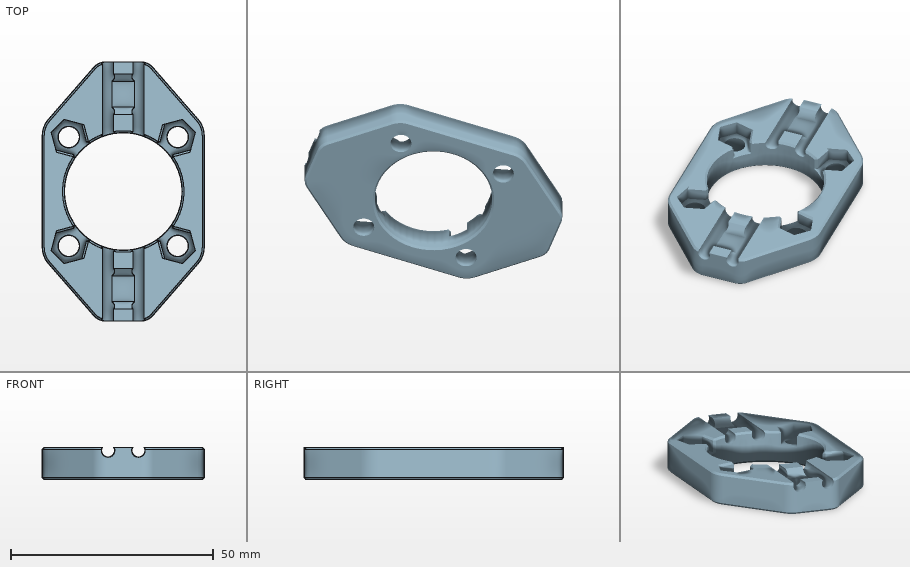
import cadquery as cq
import math

WIDTH = 40.0
LENGTH = 64.0
THICKNESS = 8.0
END_FLAT = 12.2
SIDE_FLAT = 32.1
END_RADIUS = 4.0
SIDE_RADIUS = 6.0
EDGE_CHAMFER = 0.5

BORE_DIAMETER = 29.0

BOLT_CIRCLE_RADIUS = 19.0
BOLT_DIAMETER = 5.2
NUT_ACROSS_FLATS = 7.8
NUT_DEPTH = 3.5
MOUTH_FLARE = 0.4
MOUTH_LENGTH = 0.8

GROOVE_RADIUS = 1.6
GROOVE_SPACING = 7.5
GROOVE_AXIS_DEPTH = 0.8

NOTCH_CENTER = 24.0
NOTCH_TOP_LENGTH = 10.0
NOTCH_DEPTH = 2.1
NOTCH_RAMP = 1.8


def make_plate():
    """Octagonal plate with rounded corners and chamfered rims."""
    half_width = WIDTH / 2
    half_length = LENGTH / 2
    half_end = END_FLAT / 2
    half_side = SIDE_FLAT / 2
    corners = [
        (half_width, -half_side),
        (half_width, half_side),
        (half_end, half_length),
        (-half_end, half_length),
        (-half_width, half_side),
        (-half_width, -half_side),
        (-half_end, -half_length),
        (half_end, -half_length),
    ]
    plate = cq.Workplane("XY").polyline(corners).close().extrude(THICKNESS)
    plate = plate.faces("<X or >X").edges("|Z").fillet(SIDE_RADIUS)
    plate = plate.faces("<Y or >Y").edges("|Z").fillet(END_RADIUS)
    return plate.faces("<Z or >Z").edges().chamfer(EDGE_CHAMFER)


def square_tongue_ends(plate):
    """Fill the top rim chamfer at both ends, so that the tongue ends square."""
    filler = (
        cq.Workplane("XY")
        .box(GROOVE_SPACING, LENGTH, EDGE_CHAMFER)
        .translate((0, 0, THICKNESS - EDGE_CHAMFER / 2))
    )
    return plate.union(filler)


def cut_bore(plate):
    """Central through bore with chamfered rims."""
    radius = BORE_DIAMETER / 2
    bore = cq.Workplane("XY").circle(radius).extrude(THICKNESS)
    rim = (
        cq.Workplane("XY", origin=(0, 0, THICKNESS - EDGE_CHAMFER))
        .circle(radius)
        .workplane(offset=EDGE_CHAMFER)
        .circle(radius + EDGE_CHAMFER)
        .loft()
    )
    opposite_rim = rim.mirror("XY", (0, 0, THICKNESS / 2))
    return plate.cut(bore).cut(rim).cut(opposite_rim)


def cut_grooves(plate):
    """Two round-bottomed grooves along the full length."""
    side = GROOVE_SPACING / 2
    grooves = (
        cq.Workplane("XZ", origin=(0, LENGTH / 2, THICKNESS - GROOVE_AXIS_DEPTH))
        .pushPoints([(-side, 0), (side, 0)])
        .circle(GROOVE_RADIUS)
        .extrude(LENGTH)
    )
    return plate.cut(grooves)


def cut_notches(plate):
    """Ramped notch between the groove axes, one at each end of the plate."""
    half_top = NOTCH_TOP_LENGTH / 2
    half_floor = half_top - NOTCH_RAMP
    floor_z = THICKNESS - NOTCH_DEPTH
    for center in (-NOTCH_CENTER, NOTCH_CENTER):
        notch = (
            cq.Workplane("YZ")
            .moveTo(center - half_top, THICKNESS)
            .lineTo(center - half_floor, floor_z)
            .lineTo(center + half_floor, floor_z)
            .lineTo(center + half_top, THICKNESS)
            .close()
            .extrude(GROOVE_SPACING / 2, both=True)
        )
        plate = plate.cut(notch)
    return plate


def nut_pocket_outline(widening):
    """Hexagon with its inner side opened into a flared mouth.

    X points outward along the bolt radius, measured from the bolt axis. The two
    walls beside the mouth and the flares are moved outward by the widening.
    """
    apothem = NUT_ACROSS_FLATS / 2
    side = NUT_ACROSS_FLATS / math.sqrt(3)
    turn = math.radians(60)
    mouth_x = -apothem - widening * math.cos(turn)
    mouth_y = side / 2 + widening * math.sin(turn)
    upper = [
        (apothem, side / 2),
        (-widening, side + widening / math.tan(turn)),
        (mouth_x, mouth_y),
        (mouth_x - MOUTH_LENGTH, mouth_y + MOUTH_FLARE),
    ]
    lower = [(x, -y) for x, y in reversed(upper)]
    return upper + lower


def make_nut_cutter():
    """Bolt hole, nut pocket and its top chamfer, placed on the +X axis."""
    bolt = cq.Workplane("XY").circle(BOLT_DIAMETER / 2).extrude(THICKNESS)
    pocket = (
        cq.Workplane("XY", origin=(0, 0, THICKNESS - NUT_DEPTH))
        .polyline(nut_pocket_outline(0))
        .close()
        .extrude(NUT_DEPTH)
    )
    chamfer = (
        cq.Workplane("XY", origin=(0, 0, THICKNESS - EDGE_CHAMFER))
        .polyline(nut_pocket_outline(0))
        .close()
        .workplane(offset=EDGE_CHAMFER)
        .polyline(nut_pocket_outline(EDGE_CHAMFER))
        .close()
        .loft(ruled=True)
    )
    return bolt.union(pocket).union(chamfer).translate((BOLT_CIRCLE_RADIUS, 0, 0))


def cut_nut_pockets(plate):
    """Four bolt holes with nut pockets on the plate diagonals."""
    cutter = make_nut_cutter()
    for angle in (45, 135, 225, 315):
        plate = plate.cut(cutter.rotate((0, 0, 0), (0, 0, 1), angle))
    return plate


body = square_tongue_ends(make_plate())
body = cut_bore(body)
body = cut_grooves(body)
body = cut_notches(body)
result = cut_nut_pockets(body)